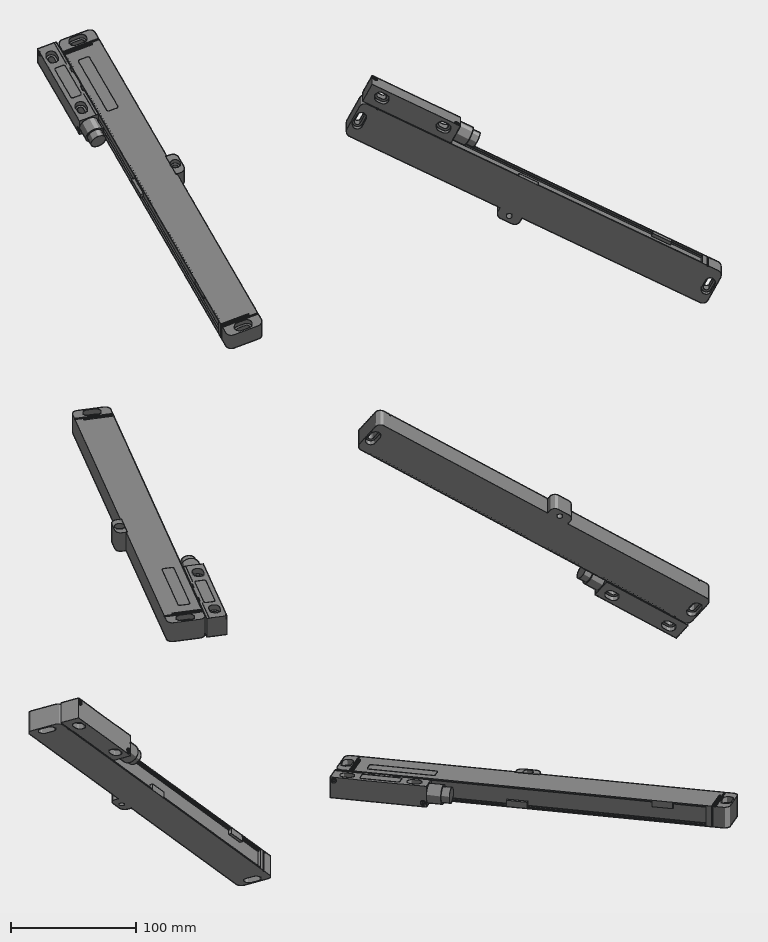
import cadquery as cq

LENGTH = 325.0
HEIGHT = 18.0
MID_HEIGHT = HEIGHT / 2

BAR_FRONT = 17.2
BAR_BACK = 48.8
BAR_MID = (BAR_FRONT + BAR_BACK) / 2
BAR_CORNER_RADIUS = 5.0

RECESS_END = 19.0
RECESS_DEPTH = 2.5
LIP_THICKNESS = 1.0
STEP_HEIGHT = 2.0
STEP_DEPTH = RECESS_DEPTH / 2

BLOCK_LENGTH = 17.2
BLOCK_HEIGHT = 5.5
LOWER_BLOCK_X = 149.8
UPPER_BLOCK_X = 270.0

GROOVE_WIDTH = 1.0
GROOVE_DEPTH = 0.5
CAP_LENGTH = 11.0
CAP_GROOVE_MARGIN = 0.3
SEAL_GROOVE_X = 13.3
SEAL_GROOVE_BACK = 42.0

COUNTERBORE_DEPTH = 5.0
SLOT_WIDTH = 5.0
END_SLOT_X = 5.5
END_SLOT_STRAIGHT = 6.5
END_COUNTERBORE_WIDTH = 8.5

LABEL_DEPTH = 0.15
LABEL_RADIUS = 1.5
BAR_LABEL_X = 24.0
BAR_LABEL_LENGTH = 56.2
BAR_LABEL_WIDTH = 9.8
BAR_LABEL_OFFSET = 7.0

EAR_X = 150.0
EAR_LENGTH = 19.8
EAR_BACK = 57.0
EAR_RADIUS = 5.0
EAR_DROP = 0.3
EAR_NOTCH_DEPTH = 1.0
EAR_HOLE_Y = 51.7
EAR_HOLE_DIAMETER = 4.5
EAR_COUNTERBORE_DIAMETER = 8.0

HEAD_LENGTH = 79.5
HEAD_WIDTH = 16.5
HEAD_SLOTS_X = (12.5, 68.0)
HEAD_SLOT_Y = 7.0
HEAD_SLOT_STRAIGHT = 3.2
HEAD_COUNTERBORE_WIDTH = 8.8

RELIEF_DEPTH = 0.15
LEDGE_WIDTH = 2.0
PAD_LENGTH = 23.5
PAD_RAMP_LENGTH = 2.0
HEAD_LABEL_Y = 4.0
HEAD_LABEL_WIDTH = 9.0
NOTCHES_X = (30.0, 50.5)
NOTCH_LENGTH = 4.5
NOTCH_WIDTH = 1.0
NOTCH_DEPTH = 5.0

SCREW_CENTRES = ((3.0, 15.0), (76.7, 3.2))
SCREW_DIAMETER = 4.2
SCREW_DEPTH = 0.5
SOCKET_DIAMETER = 2.0
SOCKET_DEPTH = 1.3

GLAND_Y = 8.0
GLAND_DIAMETER = 16.0
GLAND_LENGTH = 11.7
NECK_DIAMETER = 13.0
NECK_LENGTH = 6.8


def box(x0, x1, y0, y1, z0, z1):
    """Box between two opposite corners."""
    return cq.Workplane("XY").box(x1 - x0, y1 - y0, z1 - z0, centered=False).translate((x0, y0, z0))


def mirrored_in_x(shape):
    """Copy of a shape for the other end of the housing."""
    return shape.mirror("YZ", (LENGTH / 2, 0, 0))


def counterbored_slot(x, y, straight, counterbore_width, angle):
    """Cutter for a through slot with a wider slot sunk in from the top and from the bottom."""
    def slot(z, width, depth):
        plane = cq.Workplane("XY", origin=(x, y, z))
        return plane.slot2D(straight + width, width, angle).extrude(depth)

    through = slot(0, SLOT_WIDTH, HEIGHT)
    lower = slot(0, counterbore_width, COUNTERBORE_DEPTH)
    upper = slot(HEIGHT - COUNTERBORE_DEPTH, counterbore_width, COUNTERBORE_DEPTH)
    return through.union(lower).union(upper)


def label_recess(x, y, length, width, top):
    """Cutter for a very shallow rounded rectangle sunk into a top face."""
    blank = box(x, x + length, y, y + width, top - LABEL_DEPTH, top)
    return blank.edges("|Z").fillet(LABEL_RADIUS)


def housing_recess():
    """Cutter for the long recess: a wide mouth with a narrower channel behind it."""
    x0 = RECESS_END
    x1 = LENGTH - RECESS_END
    mouth = box(x0, x1, BAR_FRONT, BAR_FRONT + STEP_DEPTH, LIP_THICKNESS, HEIGHT - LIP_THICKNESS)
    channel = box(x0, x1, BAR_FRONT, BAR_FRONT + RECESS_DEPTH, STEP_HEIGHT, HEIGHT - STEP_HEIGHT)
    return mouth.union(channel)


def recess_block(x, z):
    """Block that fills the depth of the recess, centred at x and standing from height z."""
    half = BLOCK_LENGTH / 2
    return box(x - half, x + half, BAR_FRONT, BAR_FRONT + RECESS_DEPTH, z, z + BLOCK_HEIGHT)


def joint_grooves():
    """Cutter for the grooves beside the end cap at the -X end."""
    floor = HEIGHT - GROOVE_DEPTH
    cap_groove = box(
        CAP_LENGTH, CAP_LENGTH + GROOVE_WIDTH,
        BAR_FRONT + CAP_GROOVE_MARGIN, BAR_BACK,
        floor, HEIGHT,
    )
    seal_end = SEAL_GROOVE_X + GROOVE_WIDTH
    seal_top = box(SEAL_GROOVE_X, seal_end, BAR_FRONT, SEAL_GROOVE_BACK, floor, HEIGHT)
    seal_front = box(SEAL_GROOVE_X, seal_end, BAR_FRONT, BAR_FRONT + GROOVE_DEPTH, 0, HEIGHT)
    return cap_groove.union(seal_top).union(seal_front)


def add_mounting_ear(bar):
    """Add the ear behind the housing, with its lower top level let slightly into the housing edge."""
    x0 = EAR_X - EAR_LENGTH / 2
    x1 = EAR_X + EAR_LENGTH / 2
    ear_top = HEIGHT - EAR_DROP
    ear = box(x0, x1, BAR_BACK - EAR_NOTCH_DEPTH, EAR_BACK, 0, ear_top)
    ear = ear.edges("|Z and >Y").fillet(EAR_RADIUS)
    notch = box(x0, x1, BAR_BACK - EAR_NOTCH_DEPTH, BAR_BACK, ear_top, HEIGHT)
    return bar.union(ear).cut(notch).cut(ear_hole())


def ear_hole():
    """Cutter for the counterbored hole of the ear."""
    base = cq.Workplane("XY", origin=(EAR_X, EAR_HOLE_Y, 0))
    through = base.circle(EAR_HOLE_DIAMETER / 2).extrude(HEIGHT)
    sink = base.workplane(offset=HEIGHT - COUNTERBORE_DEPTH)
    return through.union(sink.circle(EAR_COUNTERBORE_DIAMETER / 2).extrude(COUNTERBORE_DEPTH))


def make_housing():
    """Scale housing with its end caps, recess and mounting ear."""
    bar = box(0, LENGTH, BAR_FRONT, BAR_BACK, 0, HEIGHT)
    bar = bar.edges("|Z").fillet(BAR_CORNER_RADIUS)
    bar = bar.cut(housing_recess())
    bar = bar.union(recess_block(LOWER_BLOCK_X, 0))
    bar = bar.union(recess_block(UPPER_BLOCK_X, HEIGHT - BLOCK_HEIGHT))
    bar = add_mounting_ear(bar)

    end_slot = counterbored_slot(END_SLOT_X, BAR_MID, END_SLOT_STRAIGHT, END_COUNTERBORE_WIDTH, 90)
    for cutter in (end_slot, joint_grooves()):
        bar = bar.cut(cutter).cut(mirrored_in_x(cutter))

    label_y = BAR_FRONT + BAR_LABEL_OFFSET
    return bar.cut(label_recess(BAR_LABEL_X, label_y, BAR_LABEL_LENGTH, BAR_LABEL_WIDTH, HEIGHT))


def cable_gland():
    """Stepped cylinder on the +X end of the reader head."""
    base = cq.Workplane("YZ", origin=(HEAD_LENGTH, GLAND_Y, MID_HEIGHT))
    sleeve = base.circle(GLAND_DIAMETER / 2).extrude(GLAND_LENGTH)
    neck = base.circle(NECK_DIAMETER / 2).extrude(GLAND_LENGTH + NECK_LENGTH)
    return sleeve.union(neck)


def cut_top_relief(head):
    """Lower the top behind and between the two end pads, with a slight ramp down from each pad."""
    floor = HEIGHT - RELIEF_DEPTH
    panel_end = HEAD_LENGTH - PAD_LENGTH
    ledge = box(0, HEAD_LENGTH, HEAD_WIDTH - LEDGE_WIDTH, HEAD_WIDTH, floor, HEIGHT)
    panel_outline = [
        (PAD_LENGTH - PAD_RAMP_LENGTH, HEIGHT),
        (PAD_LENGTH, floor),
        (panel_end, floor),
        (panel_end + PAD_RAMP_LENGTH, HEIGHT),
    ]
    panel = cq.Workplane("XZ").polyline(panel_outline).close().extrude(-HEAD_WIDTH)
    return head.cut(ledge).cut(panel)


def cut_top_details(head):
    """Sink the label recess between the pads, and the two notches in the back edge."""
    floor = HEIGHT - RELIEF_DEPTH
    label_length = HEAD_LENGTH - 2 * PAD_LENGTH
    head = head.cut(label_recess(PAD_LENGTH, HEAD_LABEL_Y, label_length, HEAD_LABEL_WIDTH, floor))
    for x in NOTCHES_X:
        x0 = x - NOTCH_LENGTH / 2
        x1 = x + NOTCH_LENGTH / 2
        head = head.cut(box(x0, x1, HEAD_WIDTH - NOTCH_WIDTH, HEAD_WIDTH, HEIGHT - NOTCH_DEPTH, HEIGHT))
    return head


def screw_recess(x, z):
    """Cutter for a round recess with a smaller socket, sunk into the -Y face."""
    base = cq.Workplane("XZ", origin=(x, 0, z))
    head = base.circle(SCREW_DIAMETER / 2).extrude(-SCREW_DEPTH)
    return head.union(base.circle(SOCKET_DIAMETER / 2).extrude(-SOCKET_DEPTH))


def make_reader_head():
    """Reader head with its slots, top relief, screw recesses and cable gland."""
    head = box(0, HEAD_LENGTH, 0, HEAD_WIDTH, 0, HEIGHT)
    head = cut_top_details(cut_top_relief(head))
    for x in HEAD_SLOTS_X:
        head = head.cut(counterbored_slot(x, HEAD_SLOT_Y, HEAD_SLOT_STRAIGHT, HEAD_COUNTERBORE_WIDTH, 0))
    for x, z in SCREW_CENTRES:
        head = head.cut(screw_recess(x, z))
    return head.union(cable_gland())


housing = make_housing()
reader_head = make_reader_head()

result = cq.Compound.makeCompound([housing.val(), reader_head.val()])